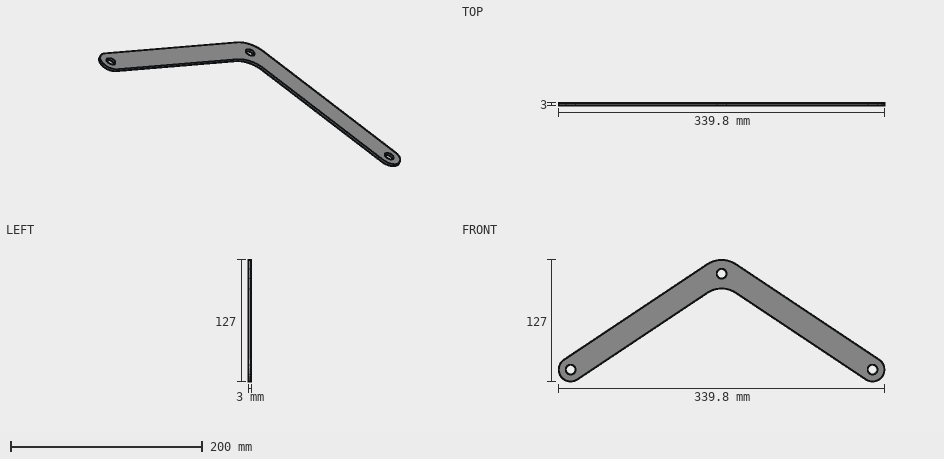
import cadquery as cq
import math

THICKNESS = 3.0
ARM_WIDTH = 25.0
HOLE_DIAMETER = 10.0
OVERALL_LENGTH = 339.76
OVERALL_HEIGHT = 126.98
CENTRE_HOLE_RISE = 100.0
ARM_ANGLE = math.radians(33.67)

END_RADIUS = ARM_WIDTH / 2
HALF_SPAN = OVERALL_LENGTH / 2 - END_RADIUS
CENTRELINE_APEX_Z = HALF_SPAN * math.tan(ARM_ANGLE)
EDGE_OFFSET = END_RADIUS / math.cos(ARM_ANGLE)
CROWN_Z = OVERALL_HEIGHT - END_RADIUS
CORNER_CUTBACK = CENTRELINE_APEX_Z + EDGE_OFFSET - CROWN_Z
BEND_RADIUS = CORNER_CUTBACK / (1 / math.cos(ARM_ANGLE) - 1)
MID_HEIGHT_Z = OVERALL_HEIGHT / 2 - END_RADIUS


def bend_arc(corner_z):
    """Left, middle and right points of the arc rounding a corner at height corner_z."""
    half_width = BEND_RADIUS * math.sin(ARM_ANGLE)
    tangent_z = corner_z - half_width * math.tan(ARM_ANGLE)
    return (-half_width, tangent_z), (0, corner_z - CORNER_CUTBACK), (half_width, tangent_z)


def end_arc(side):
    """Upper, tip and lower points of a round arm end; side is -1 (left) or +1 (right)."""
    short_leg = END_RADIUS * math.sin(ARM_ANGLE)
    long_leg = END_RADIUS * math.cos(ARM_ANGLE)
    upper = (side * (HALF_SPAN + short_leg), long_leg)
    tip = (side * (HALF_SPAN + long_leg), -short_leg)
    lower = (side * (HALF_SPAN - short_leg), -long_leg)
    return upper, tip, lower


def make_plate():
    """Flat strip with two straight arms, round ends and a rounded bend."""
    outer_left, outer_middle, outer_right = bend_arc(CENTRELINE_APEX_Z + EDGE_OFFSET)
    inner_left, inner_middle, inner_right = bend_arc(CENTRELINE_APEX_Z - EDGE_OFFSET)
    right_upper, right_tip, right_lower = end_arc(1)
    left_upper, left_tip, left_lower = end_arc(-1)

    return (
        cq.Workplane("XZ")
        .moveTo(*outer_left)
        .threePointArc(outer_middle, outer_right)
        .lineTo(*right_upper)
        .threePointArc(right_tip, right_lower)
        .lineTo(*inner_right)
        .threePointArc(inner_middle, inner_left)
        .lineTo(*left_lower)
        .threePointArc(left_tip, left_upper)
        .close()
        .extrude(THICKNESS / 2, both=True)
    )


def drill_holes(plate):
    """Through holes at the two ends and at the bend."""
    hole_centres = [(-HALF_SPAN, 0), (0, CENTRE_HOLE_RISE), (HALF_SPAN, 0)]
    drills = (
        cq.Workplane("XZ")
        .pushPoints(hole_centres)
        .circle(HOLE_DIAMETER / 2)
        .extrude(THICKNESS, both=True)
    )
    return plate.cut(drills)


result = drill_holes(make_plate()).translate((0, 0, -MID_HEIGHT_Z))